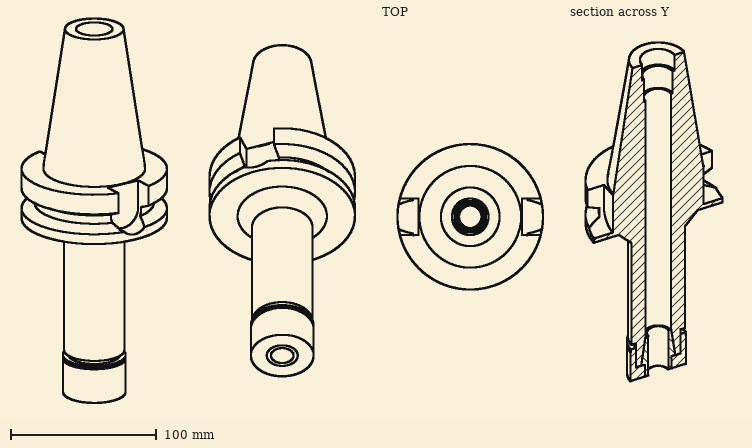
import cadquery as cq
import math

TOTAL_HEIGHT = 266.8
NUT_TOP = 27.2
SHAFT_BOTTOM = 30.7
SHAFT_TOP = 117.5
FLANGE_BOTTOM = 127.8
FLANGE_TOP = 164.0
TAPER_BASE = 165.5

TAPER_BASE_RADIUS = 35.0
TAPER_SLOPE = 7 / 24 / 2
TAPER_TOP_RADIUS = TAPER_BASE_RADIUS - TAPER_SLOPE * (TOTAL_HEIGHT - TAPER_BASE)

FLANGE_RADIUS = 100.0 / 2
GROOVE_RADIUS = 41.0
GROOVE_LOWER_EDGE = 135.0
GROOVE_UPPER_EDGE = 149.7
GROOVE_FLANK_HEIGHT = 4.3

SLOT_WIDTH = 25.0
SLOT_FLOOR_X = 35.5
SLOT_BOTTOM = 131.8
SLOT_DIRECTIONS = (-1, 1)

SHAFT_RADIUS = 20.8
SHAFT_CONE_RADIUS = 30.7
NECK_RADIUS = 17.5
NECK_BOTTOM = 10.1

MOUTH_RADIUS = 12.5
MOUTH_DEPTH = 13.3
THREAD_BORE_RADIUS = 11.0
THREAD_BORE_DEPTH = 32.0
BORE_RADIUS = 10.0

COLLET_NOSE_RADIUS = 10.7
COLLET_HALF_ANGLE = 8
COLLET_TOP = 32.8
COLLET_CONE_RADIUS = BORE_RADIUS + (COLLET_TOP - NECK_BOTTOM) * math.tan(math.radians(COLLET_HALF_ANGLE))
COLLET_CHAMFER = 1.0
COLLET_BORE_RADIUS = 7.7

NUT_RADIUS = 21.5
NUT_GROOVE_BOTTOM = 24.8
NUT_GROOVE_WIDTH = 0.8
NUT_GROOVE_DEPTH = 0.13


def revolve_profile(points):
    """Turn a closed outline of (radius, z) points about the Z axis."""
    outline = cq.Workplane("XZ").polyline(points).close()
    return outline.revolve(360, (0, 0, 0), (0, 1, 0))


def make_drive_slot(direction):
    """Cutter for one slot: open at the flange top, rounded at the bottom."""
    slot_radius = SLOT_WIDTH / 2
    arc_center_z = SLOT_BOTTOM + slot_radius
    slot_depth = FLANGE_RADIUS - SLOT_FLOOR_X
    return (
        cq.Workplane("YZ", origin=(direction * SLOT_FLOOR_X, 0, 0))
        .moveTo(-slot_radius, FLANGE_TOP)
        .lineTo(-slot_radius, arc_center_z)
        .threePointArc((0, SLOT_BOTTOM), (slot_radius, arc_center_z))
        .lineTo(slot_radius, FLANGE_TOP)
        .close()
        .extrude(direction * slot_depth)
    )


def make_holder():
    """Tool holder: taper, grooved flange, shaft and neck around a stepped bore."""
    mouth_floor = TOTAL_HEIGHT - MOUTH_DEPTH
    thread_bore_floor = TOTAL_HEIGHT - THREAD_BORE_DEPTH
    holder = revolve_profile([
        (COLLET_CONE_RADIUS, NECK_BOTTOM),
        (NECK_RADIUS, NECK_BOTTOM),
        (NECK_RADIUS, SHAFT_BOTTOM),
        (SHAFT_RADIUS, SHAFT_BOTTOM),
        (SHAFT_RADIUS, SHAFT_TOP),
        (SHAFT_CONE_RADIUS, FLANGE_BOTTOM),
        (FLANGE_RADIUS, FLANGE_BOTTOM),
        (FLANGE_RADIUS, GROOVE_LOWER_EDGE),
        (GROOVE_RADIUS, GROOVE_LOWER_EDGE + GROOVE_FLANK_HEIGHT),
        (GROOVE_RADIUS, GROOVE_UPPER_EDGE - GROOVE_FLANK_HEIGHT),
        (FLANGE_RADIUS, GROOVE_UPPER_EDGE),
        (FLANGE_RADIUS, FLANGE_TOP),
        (TAPER_BASE_RADIUS, FLANGE_TOP),
        (TAPER_BASE_RADIUS, TAPER_BASE),
        (TAPER_TOP_RADIUS, TOTAL_HEIGHT),
        (MOUTH_RADIUS, TOTAL_HEIGHT),
        (MOUTH_RADIUS, mouth_floor),
        (THREAD_BORE_RADIUS, mouth_floor),
        (THREAD_BORE_RADIUS, thread_bore_floor),
        (BORE_RADIUS, thread_bore_floor),
        (BORE_RADIUS, COLLET_TOP),
    ])
    for direction in SLOT_DIRECTIONS:
        holder = holder.cut(make_drive_slot(direction))
    return holder


def make_collet():
    """Hollow collet with a straight nose in the nut and a cone in the holder."""
    return revolve_profile([
        (COLLET_BORE_RADIUS, 0),
        (COLLET_NOSE_RADIUS, 0),
        (COLLET_NOSE_RADIUS, NECK_BOTTOM),
        (COLLET_CONE_RADIUS, NECK_BOTTOM),
        (BORE_RADIUS, COLLET_TOP),
        (BORE_RADIUS - COLLET_CHAMFER, COLLET_TOP + COLLET_CHAMFER),
        (COLLET_BORE_RADIUS, COLLET_TOP + COLLET_CHAMFER),
    ])


def make_nut():
    """Clamping nut around the neck, with the collet nose through its end."""
    groove_top = NUT_GROOVE_BOTTOM + NUT_GROOVE_WIDTH
    groove_radius = NUT_RADIUS - NUT_GROOVE_DEPTH
    return revolve_profile([
        (COLLET_NOSE_RADIUS, 0),
        (NUT_RADIUS, 0),
        (NUT_RADIUS, NUT_GROOVE_BOTTOM),
        (groove_radius, NUT_GROOVE_BOTTOM),
        (groove_radius, groove_top),
        (NUT_RADIUS, groove_top),
        (NUT_RADIUS, NUT_TOP),
        (NECK_RADIUS, NUT_TOP),
        (NECK_RADIUS, NECK_BOTTOM),
        (COLLET_NOSE_RADIUS, NECK_BOTTOM),
    ])


holder = make_holder()
collet = make_collet()
nut = make_nut()

result = cq.Compound.makeCompound([holder.val(), collet.val(), nut.val()])